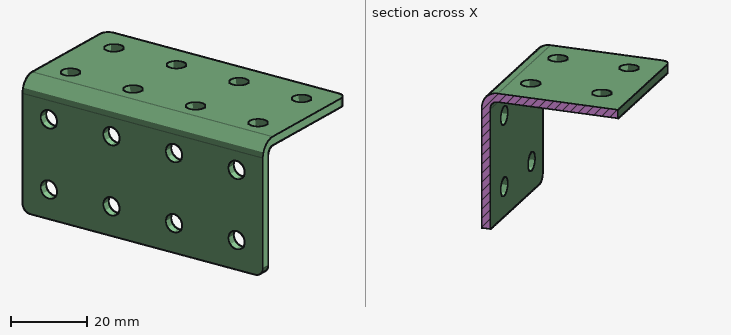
import cadquery as cq

length = 77.0
leg = 38.5
thickness = 2.55
inner_bend_radius = 2.0
outer_bend_radius = inner_bend_radius + thickness
corner_radius = 2.55

hole_diameter = 5.15
hole_pitch = 20.0
hole_columns = 4
hole_rows = 2
edge_distance = (length - (hole_columns - 1) * hole_pitch) / 2
pattern_center = leg - edge_distance - (hole_rows - 1) * hole_pitch / 2


def bent_sheet():
    """L-shaped sheet: outer faces on Y = 0 and Z = 0, centred along X."""
    return (
        cq.Workplane("YZ")
        .moveTo(0, -leg)
        .lineTo(thickness, -leg)
        .lineTo(thickness, -outer_bend_radius)
        .radiusArc((outer_bend_radius, -thickness), inner_bend_radius)
        .lineTo(leg, -thickness)
        .lineTo(leg, 0)
        .lineTo(outer_bend_radius, 0)
        .radiusArc((0, -outer_bend_radius), -outer_bend_radius)
        .close()
        .extrude(length / 2, both=True)
    )


def hole_cutters(plane, center_y, depth):
    """Grid of cylinders that pierce one leg."""
    return (
        cq.Workplane(plane)
        .center(0, center_y)
        .rarray(hole_pitch, hole_pitch, hole_columns, hole_rows)
        .circle(hole_diameter / 2)
        .extrude(depth)
    )


bracket = bent_sheet()

bracket = bracket.faces(">Y").edges("|Z").fillet(corner_radius)
bracket = bracket.faces("<Z").edges("|Y").fillet(corner_radius)

bracket = bracket.cut(hole_cutters("XY", pattern_center, -thickness))
result = bracket.cut(hole_cutters("XZ", -pattern_center, -thickness))